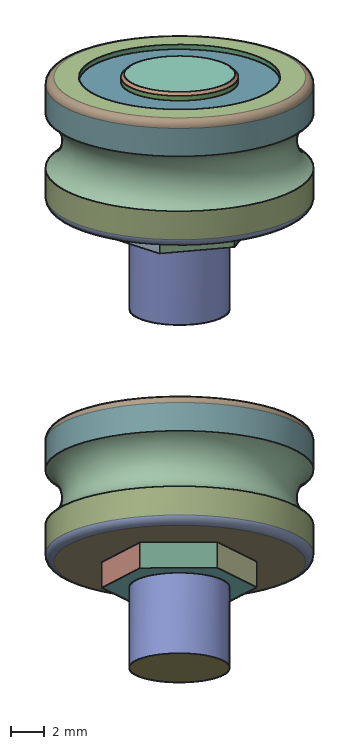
import cadquery as cq
import math

roller_diameter = 16
roller_height = 8
rim_fillet = 0.5
groove_radius = 2.0
groove_depth = 1.0

recess_diameter = 12
recess_depth = 0.3
pin_diameter = 7.0
pin_rise = 0.2
pin_chamfer = 0.2

hex_sides = 6
hex_across_flats = 8
hex_height = 1.6
stud_diameter = 6.0
stud_length = 5.0

hex_bottom = stud_length
roller_bottom = hex_bottom + hex_height
roller_middle = roller_bottom + roller_height / 2
roller_top = roller_bottom + roller_height
recess_floor = roller_top - recess_depth


def disc(diameter, bottom, height):
    return cq.Workplane("XY").workplane(offset=bottom).circle(diameter / 2).extrude(height)


def make_roller():
    body = disc(roller_diameter, roller_bottom, roller_height).edges("%CIRCLE").fillet(rim_fillet)
    groove_centre = roller_diameter / 2 - groove_depth + groove_radius
    groove = (
        cq.Workplane("XZ")
        .center(groove_centre, roller_middle)
        .circle(groove_radius)
        .revolve(360, (-groove_centre, 0), (-groove_centre, 1))
    )
    recess = disc(recess_diameter, recess_floor, recess_depth)
    return body.cut(groove).cut(recess)


def make_pin_head():
    head = disc(pin_diameter, recess_floor, recess_depth + pin_rise)
    return head.faces(">Z").chamfer(pin_chamfer)


def make_hex_collar():
    across_corners = hex_across_flats / math.cos(math.pi / hex_sides)
    return (
        cq.Workplane("XY")
        .workplane(offset=hex_bottom)
        .polygon(hex_sides, across_corners)
        .extrude(hex_height)
    )


stud = disc(stud_diameter, 0, stud_length)
result = make_roller().union(make_pin_head()).union(make_hex_collar()).union(stud)